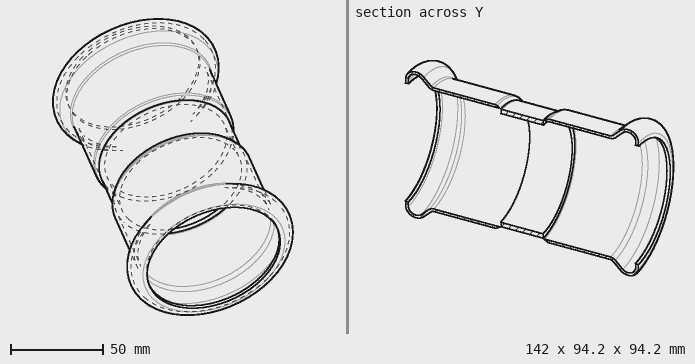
import cadquery as cq
import math

length = 142.0
half_length = length / 2
wall = 2.0

barrel_radius = 40.0
socket_radius = barrel_radius - wall
waist_radius = 38.0
waist_bore_radius = 35.0

bead_radius = 47.1
bead_round = 6.5
bead_center_radius = bead_radius - bead_round
bead_center_x = half_length - bead_round
cone_angle = math.radians(45)
cone_bend = 2.0

waist_half_length = 12.9
step_length = 3.0
step_x = waist_half_length + step_length
step_outer_bend = 2.3
step_inner_bend = 1.7


def bead_point(radius, angle):
    """Point on a bead arc; the angle is measured from the crest toward the middle."""
    return (
        bead_center_x - radius * math.sin(angle),
        bead_center_radius + radius * math.cos(angle),
    )


def cone_foot_x(arc_radius, foot_radius):
    """Where the cone tangent to a bead arc comes down to the given radius."""
    start_x, start_radius = bead_point(arc_radius, cone_angle)
    return start_x - (start_radius - foot_radius) / math.tan(cone_angle)


def revolve_half(arc_radius, inner_points, foot_radius):
    """Revolve one half: points from the middle outward, a cone, a bead arc and an end plane."""
    end_x = bead_center_x + arc_radius
    arc_middle_angle = (cone_angle - math.pi / 2) / 2
    profile = (
        cq.Workplane("XY")
        .polyline([(inner_points[0][0], 0)] + inner_points)
        .lineTo(cone_foot_x(arc_radius, foot_radius), foot_radius)
        .lineTo(*bead_point(arc_radius, cone_angle))
        .threePointArc(bead_point(arc_radius, arc_middle_angle), (end_x, bead_center_radius))
        .lineTo(end_x, 0)
        .close()
    )
    return profile.revolve(360, (0, 0, 0), (1, 0, 0))


def round_circle(body, x, radius, bend):
    """Fillet the circular edge at the given X and radius."""
    tolerance = 0.01
    corner = (x + tolerance, radius + tolerance, radius + tolerance)
    opposite = (x - tolerance, -radius - tolerance, -radius - tolerance)
    selector = cq.selectors.BoxSelector(opposite, corner, boundingbox=True)
    circles = body.edges(selector).edges("%CIRCLE")
    largest = cq.selectors.RadiusNthSelector(-1)
    return circles.edges(largest).fillet(bend)


def outer_half():
    """Solid outside shape from the middle to one end, with its bends rounded."""
    points = [(0, waist_radius), (waist_half_length, waist_radius), (step_x, barrel_radius)]
    body = revolve_half(bead_round, points, barrel_radius)
    body = round_circle(body, waist_half_length, waist_radius, step_inner_bend)
    body = round_circle(body, step_x, barrel_radius, step_outer_bend)
    return round_circle(body, cone_foot_x(bead_round, barrel_radius), barrel_radius, cone_bend)


def socket_cavity():
    """Hollow inside the bead and cone, one wall inside the outer shape."""
    arc_radius = bead_round - wall
    points = [(waist_half_length, socket_radius)]
    body = revolve_half(arc_radius, points, socket_radius)
    return round_circle(body, cone_foot_x(arc_radius, socket_radius), socket_radius, cone_bend + wall)


def bore(radius, start_x):
    """Round hole along X from start_x to the end face."""
    return cq.Workplane("YZ", origin=(start_x, 0, 0)).circle(radius).extrude(half_length - start_x)


half = outer_half().cut(socket_cavity())
half = half.cut(bore(waist_bore_radius, 0)).cut(bore(socket_radius, waist_half_length))
other_half = half.rotate((0, 0, 0), (0, 1, 0), 180)
result = half.union(other_half).clean()